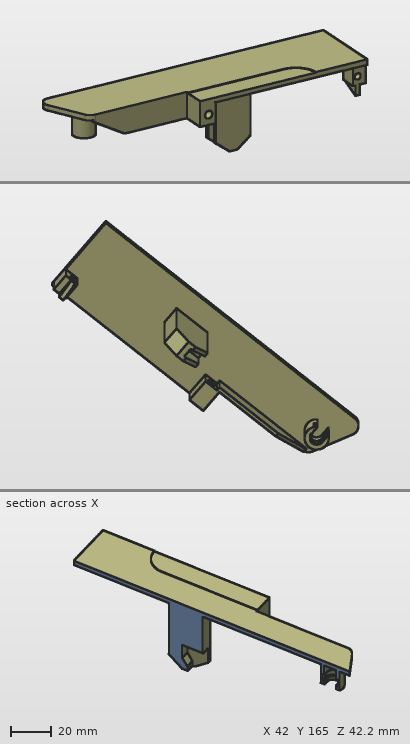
import cadquery as cq
import math


plate_width = 42.0
plate_length = 165.0
plate_thickness = 3.0
part_height = 42.2
arm_width = 29.4
shoulder_y = 67.8
end_angle = math.atan(0.5)
corner_radius = 5.0

recess_x = 30.4
recess_end_y = 135.0
recess_depth = 0.3
recess_radius = 11.5

boss_x = 17.0
boss_y = 15.55
boss_radius = 6.0
boss_bottom = -15.2
slot_width = 6.8
undercut_width = 9.4
undercut_top = -8.9
undercut_bottom = -12.9

post_center_x = 16.7
post_width = 9.5
post_center_y = 99.7
post_length = 20.0
post_tip_length = 4.4
post_taper_height = 6.0
pocket_width = 5.0
pocket_top = -26.8
pocket_depth = 12.0
ramp_top = -34.9
ramp_bottom = -39.1
ramp_depth = 9.0

hinge_length = 8.9
hinge_bottom = -14.3
hinge_hole_diameter = 4.2
hole_z = -8.7
hinge_hole_y = 72.8
rib_left = 27.4
rib_front_y = 13.6
rib_back_y = 69.3
rib_slope_start_y = 31.6
rib_slope = math.tan(math.radians(30))

catch_left = 31.2
catch_right = 40.6
catch_length = 7.5
catch_bottom = -13.4
catch_hole_diameter = 3.4
catch_hole_y = 160.2
tab_thickness = 2.6
tab_left_bottom = -14.8
tab_tip = -19.0


def box(x_min, x_max, y_min, y_max, z_min, z_max):
    """Axis-aligned block between the given limits."""
    size = (x_max - x_min, y_max - y_min, z_max - z_min)
    return cq.Workplane("XY").box(*size, centered=False).translate((x_min, y_min, z_min))


def arm_prism(depth):
    """Prism of the plate outline below the top face, with a rounded slanted end."""
    left_y = corner_radius * (1 - math.tan(end_angle) - 1 / math.cos(end_angle))
    right_y = left_y + arm_width * math.tan(end_angle)
    outline = [
        (0, left_y),
        (arm_width, right_y),
        (arm_width, shoulder_y),
        (plate_width, shoulder_y),
        (plate_width, plate_length),
        (0, plate_length),
    ]
    prism = cq.Workplane("XY").polyline(outline).close().extrude(-depth)
    for corner in ((0, left_y), (arm_width, right_y)):
        nearest_edge = cq.selectors.NearestToPointSelector((*corner, -depth / 2))
        prism = prism.edges("|Z").edges(nearest_edge).fillet(corner_radius)
    return prism


def recess():
    """Shallow pocket with one rounded corner, open to the right and at the shoulder."""
    block = box(recess_x, plate_width, shoulder_y, recess_end_y, -recess_depth, 0)
    return block.edges("|Z and <X and >Y").fillet(recess_radius)


def boss():
    """Round boss with a T-slot that opens to the left and ends round on the boss axis."""
    body = cq.Workplane("XY").center(boss_x, boss_y).circle(boss_radius).extrude(boss_bottom)

    def open_slot(width, z_min, z_max):
        """Slot from the left side to a round end on the boss axis."""
        half = width / 2
        channel = box(boss_x - boss_radius, boss_x, boss_y - half, boss_y + half, z_min, z_max)
        end = cq.Workplane("XY", origin=(boss_x, boss_y, z_min)).circle(half).extrude(z_max - z_min)
        return channel.union(end)

    body = body.cut(open_slot(slot_width, boss_bottom, -plate_thickness))
    return body.cut(open_slot(undercut_width, undercut_bottom, undercut_top))


def post():
    """Post tapered to a narrow tip, with a front pocket that has a ramp near its lower end."""
    half = post_length / 2
    half_tip = post_tip_length / 2
    front_y = post_center_y - half
    taper_top = -part_height + post_taper_height
    profile = [
        (front_y, 0),
        (front_y, taper_top),
        (post_center_y - half_tip, -part_height),
        (post_center_y + half_tip, -part_height),
        (post_center_y + half, taper_top),
        (post_center_y + half, 0),
    ]
    pocket_profile = [
        (front_y, pocket_top),
        (front_y + pocket_depth, pocket_top),
        (front_y + pocket_depth, ramp_top),
        (front_y + ramp_depth, ramp_bottom),
        (front_y + ramp_depth, -part_height),
        (front_y, -part_height),
    ]
    middle = cq.Workplane("YZ", origin=(post_center_x, 0, 0))
    body = middle.polyline(profile).close().extrude(post_width / 2, both=True)
    pocket = middle.polyline(pocket_profile).close().extrude(pocket_width / 2, both=True)
    return body.cut(pocket)


def cross_hole(y, diameter):
    """Hole along X through the whole width."""
    return cq.Workplane("YZ", origin=(0, y, hole_z)).circle(diameter / 2).extrude(plate_width)


def hinge_block():
    """Block from the recess floor down, right of the arm, with a cross hole."""
    block = box(arm_width, plate_width, shoulder_y, shoulder_y + hinge_length,
                hinge_bottom, -recess_depth)
    return block.cut(cross_hole(hinge_hole_y, hinge_hole_diameter))


def rib():
    """Rib along the right edge of the arm, sloping up to a low front face and kept inside the outline."""
    front_bottom = hinge_bottom + rib_slope * (rib_slope_start_y - rib_front_y)
    profile = [
        (rib_front_y, front_bottom),
        (rib_slope_start_y, hinge_bottom),
        (rib_back_y, hinge_bottom),
        (rib_back_y, 0),
        (rib_front_y, 0),
    ]
    wall = cq.Workplane("YZ", origin=(rib_left, 0, 0)).polyline(profile).close()
    wall = wall.extrude(arm_width - rib_left)
    return wall.intersect(arm_prism(part_height))


def catch():
    """Block flush with the far end, with a cross hole and a thin pointed tab."""
    block = box(catch_left, catch_right, plate_length - catch_length, plate_length, catch_bottom, 0)
    tab_profile = [
        (catch_left, catch_bottom),
        (catch_left, tab_left_bottom),
        (catch_right, tab_tip),
        (catch_right, catch_bottom),
    ]
    tab_front = cq.Workplane("XZ", origin=(0, catch_hole_y, 0))
    tab = tab_front.polyline(tab_profile).close().extrude(tab_thickness / 2, both=True)
    return block.union(tab).cut(cross_hole(catch_hole_y, catch_hole_diameter))


result = arm_prism(plate_thickness).cut(recess())
for feature in (boss(), post(), rib(), hinge_block(), catch()):
    result = result.union(feature)